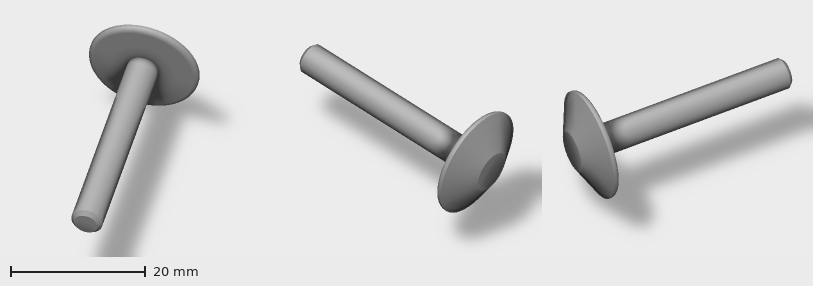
import cadquery as cq

total_length = 35.55
head_diameter = 17.0
crown_diameter = 6.4
head_height = 3.8
rim_height = 1.0
rim_radius = 0.75
shank_diameter = 4.8
tip_chamfer = 0.6

head_base = total_length - head_height
rim_top = head_base + rim_height

head = (
    cq.Workplane("XY")
    .moveTo(0, head_base)
    .lineTo(head_diameter / 2 - rim_radius, head_base)
    .radiusArc((head_diameter / 2, head_base + rim_radius), -rim_radius)
    .lineTo(head_diameter / 2, rim_top)
    .lineTo(crown_diameter / 2, total_length)
    .lineTo(0, total_length)
    .close()
    .revolve(360, (0, 0, 0), (0, 1, 0))
)

shank = (
    cq.Workplane("XZ")
    .circle(shank_diameter / 2)
    .extrude(-head_base)
    .faces("<Y")
    .chamfer(tip_chamfer)
)

result = head.union(shank)